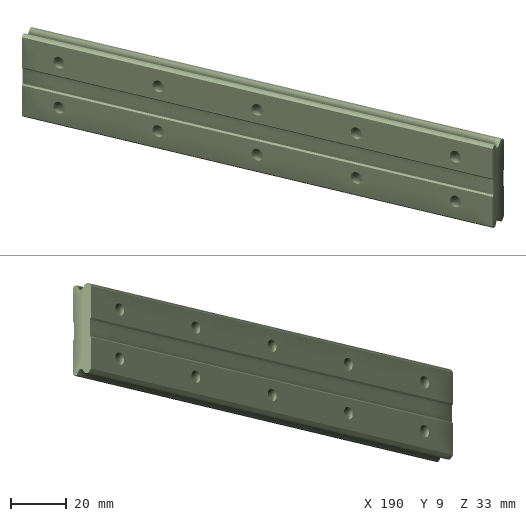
import cadquery as cq

length = 190.0
thickness = 9.0
height = 33.0

back_chamfer = 1.0
back_crest_width = 1.0
back_tip_run = 0.5
back_tip_height = 0.4

front_chamfer = 0.8
front_crest_width = 1.1
front_wall_run = 1.1

groove_depth = 1.9
back_wall_run = groove_depth - back_tip_height

relief_width = 7.2
relief_depth = 0.5

hole_diameter = 4.5
hole_end_margin = 15.0
hole_row_spacing = 18.0
holes_per_row = 5
hole_pitch = (length - 2 * hole_end_margin) / (holes_per_row - 1)

half_thickness = thickness / 2
half_height = height / 2
floor_z = half_height - groove_depth
back_tip_base_z = half_height - back_tip_height
back_crest_outer_y = half_thickness - back_chamfer - back_tip_run
back_crest_inner_y = back_crest_outer_y - back_crest_width
front_crest_outer_y = front_chamfer - half_thickness
front_crest_inner_y = front_crest_outer_y + front_crest_width


def make_bar():
    """Extrude the end profile, whose top and bottom edges mirror each other."""
    upper_edge = [
        (-half_thickness, half_height - front_chamfer),
        (front_crest_outer_y, half_height),
        (front_crest_inner_y, half_height),
        (front_crest_inner_y + front_wall_run, floor_z),
        (back_crest_inner_y - back_tip_run - back_wall_run, floor_z),
        (back_crest_inner_y - back_tip_run, back_tip_base_z),
        (back_crest_inner_y, half_height),
        (back_crest_outer_y, half_height),
        (back_crest_outer_y + back_tip_run, back_tip_base_z),
        (half_thickness, back_tip_base_z - back_chamfer),
    ]
    lower_edge = [(y, -z) for y, z in reversed(upper_edge)]
    return (
        cq.Workplane("YZ")
        .polyline(upper_edge + lower_edge)
        .close()
        .extrude(length / 2, both=True)
    )


def make_relief(side):
    """Flat-bottomed channel with 45 degree walls; side is -1 or 1 along Y."""
    face_y = side * half_thickness
    floor_y = side * (half_thickness - relief_depth)
    mouth_z = relief_width / 2
    inner_z = mouth_z - relief_depth
    return (
        cq.Workplane("YZ")
        .polyline([(face_y, -mouth_z), (floor_y, -inner_z), (floor_y, inner_z), (face_y, mouth_z)])
        .close()
        .extrude(length / 2, both=True)
    )


def make_holes():
    """Two rows of round holes through the thickness."""
    return (
        cq.Workplane("XZ")
        .rarray(hole_pitch, hole_row_spacing, holes_per_row, 2)
        .circle(hole_diameter / 2)
        .extrude(thickness, both=True)
    )


result = make_bar()
for face_side in (-1, 1):
    result = result.cut(make_relief(face_side))
result = result.cut(make_holes())